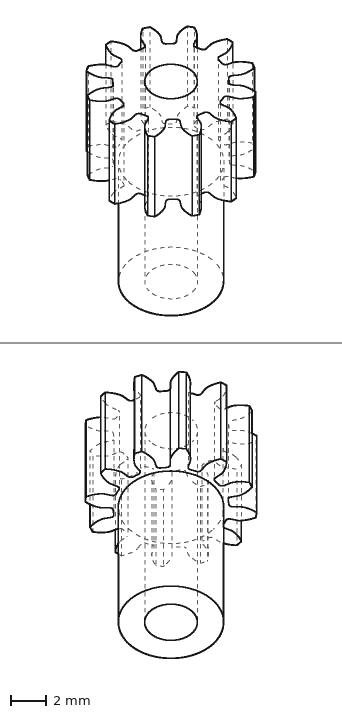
import cadquery as cq
import math

tooth_count = 12
pitch_radius = 4.2
pressure_angle = math.radians(20)
module = 2 * pitch_radius / tooth_count
tip_radius = pitch_radius + module
root_radius = 3.3
root_fillet = 0.22
gear_height = 6.0

total_height = 15.0
shaft_radius = 3.0
bore_radius = 1.5

base_radius = pitch_radius * math.cos(pressure_angle)
pitch_half_angle = math.pi / (2 * tooth_count)
tooth_pitch = 2 * math.pi / tooth_count
flank_intervals = 6


def involute(angle):
    return math.tan(angle) - angle


def polar(radius, angle):
    return (radius * math.cos(angle), radius * math.sin(angle))


def tooth_half_angle(radius):
    """Angle from the tooth centreline to its flank at a radius."""
    roll = math.acos(min(1.0, base_radius / radius))
    return pitch_half_angle + involute(pressure_angle) - involute(roll)


def flank_points(center, side):
    """Points of one involute flank, from the base circle out to the tip."""
    step = (tip_radius - base_radius) / flank_intervals
    radii = [base_radius + i * step for i in range(flank_intervals + 1)]
    return [polar(r, center + side * tooth_half_angle(r)) for r in radii]


def gear():
    root_half_angle = tooth_half_angle(base_radius)
    first_center = tooth_pitch / 2
    outline = cq.Workplane("XY", origin=(0, 0, total_height - gear_height))
    outline = outline.moveTo(*polar(root_radius, first_center - root_half_angle))
    for i in range(tooth_count):
        center = first_center + i * tooth_pitch
        rising = flank_points(center, -1)
        falling = flank_points(center, 1)[::-1]
        next_center = center + tooth_pitch
        outline = (
            outline.lineTo(*rising[0])
            .spline(rising[1:], includeCurrent=True)
            .threePointArc(polar(tip_radius, center), falling[0])
            .spline(falling[1:], includeCurrent=True)
            .lineTo(*polar(root_radius, center + root_half_angle))
            .threePointArc(
                polar(root_radius, center + tooth_pitch / 2),
                polar(root_radius, next_center - root_half_angle),
            )
        )
    body = outline.close().extrude(gear_height)

    between_root_and_base = (root_radius + base_radius) / 2
    root_corners = body.edges("|Z").filter(
        lambda edge: math.hypot(edge.Center().x, edge.Center().y) < between_root_and_base
    )
    return root_corners.fillet(root_fillet)


shaft = cq.Workplane("XY").circle(shaft_radius).extrude(total_height)
bore = cq.Workplane("XY").circle(bore_radius).extrude(total_height)
result = gear().union(shaft).cut(bore)